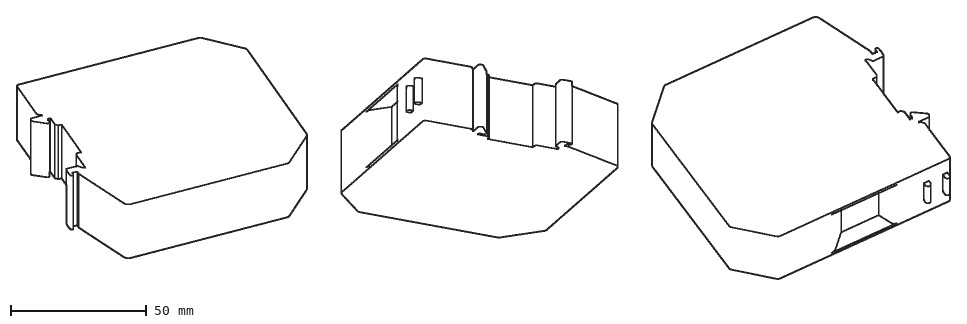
import cadquery as cq
import math

body_width = 83.0
body_length = 90.1
thickness = 25.0
top_corner_cut = 13.1
top_corner_radius = 1.8
base_corner_radius = 0.9

underside_y = 3.4
rail_seat_y = 7.1
rail_recess_y = 9.4
recess_left_x = 28.6
recess_right_x = 46.8
step_chamfer = 1.0
step_radius = 1.0

latch_left_x = 20.7
latch_right_x = 23.4
latch_nose_x = 26.1
latch_nose_y = 5.95
nose_drop = 0.9
nose_bevel = 0.6
nose_lower_radius = 0.5
nose_upper_radius = 0.4
latch_neck_radius = 0.45
latch_tip_x = 22.35
latch_tip_radius = 1.0
relief_width = 1.35
relief_floor = 0.3
relief_radius = 1.35
relief_top_y = 5.05

hook_left_x = 54.0
hook_right_x = 57.05
hook_undercut_x = 55.9
hook_shoulder_y = 5.0
hook_toe_x = 58.7
hook_toe_height = 1.4
hook_undercut_depth = 0.9
hook_bottom_crown = 0.3
hook_crown_radius = 9.0
hook_shoulder_radius = 0.3
hook_heel_radius = 0.45
hook_toe_radius = 0.5

slope_start_x = 58.6
slope_end_y = 12.2
slope_end_radius = 2.25

pocket_height = 22.35
pocket_depth = 6.6
pocket_floor_low_y = 30.5
pocket_floor_high_y = 46.4
pocket_mouth_low_y = 27.85
pocket_mouth_high_y = pocket_floor_high_y + pocket_depth
low_mouth_radius = 1.8
high_mouth_radius = 3.15

tab_height = 9.8
tab_root = 0.9
tabs = [(5.0, 2.0, 2.6), (12.8, 2.25, 2.25)]


def rounded_outline(corners):
    """Closed wire from (x, y, radius) corners; a zero radius stays sharp."""
    wire = cq.Workplane("XY")
    count = len(corners)
    for i in range(count):
        x, y, radius = corners[i]
        corner = cq.Vector(x, y)
        before = (cq.Vector(*corners[i - 1][:2]) - corner).normalized()
        after = (cq.Vector(*corners[(i + 1) % count][:2]) - corner).normalized()
        half_angle = before.getAngle(after) / 2
        setback = radius / math.tan(half_angle)
        start = corner + before * setback
        wire = wire.moveTo(start.x, start.y) if i == 0 else wire.lineTo(start.x, start.y)
        if radius > 0:
            bisector = (before + after).normalized()
            middle = corner + bisector * (radius / math.sin(half_angle) - radius)
            end = corner + after * setback
            wire = wire.threePointArc((middle.x, middle.y), (end.x, end.y))
    return wire.close()


def housing():
    left_and_latch = [
        (0, underside_y, base_corner_radius),
        (latch_left_x - relief_width, underside_y, relief_radius),
        (latch_left_x - relief_floor, relief_top_y, 0),
        (latch_left_x, relief_top_y, 0),
        (latch_left_x, 0, latch_tip_radius),
        (latch_tip_x, 0, latch_tip_radius),
        (latch_nose_x, latch_nose_y - nose_drop, nose_lower_radius),
        (latch_nose_x - nose_bevel, latch_nose_y, nose_upper_radius),
        (latch_right_x, latch_nose_y, latch_neck_radius),
        (latch_right_x, rail_seat_y, 0),
    ]
    rail_recess = [
        (recess_left_x - step_chamfer, rail_seat_y, 0),
        (recess_left_x, rail_seat_y + step_chamfer, 0),
        (recess_left_x, rail_recess_y, 0),
        (recess_right_x, rail_recess_y, 0),
        (recess_right_x, rail_seat_y, step_radius),
    ]
    hook = [
        (hook_undercut_x, rail_seat_y, 0),
        (hook_undercut_x, rail_seat_y - hook_undercut_depth, hook_shoulder_radius),
        (hook_left_x, hook_shoulder_y, hook_shoulder_radius),
        (hook_left_x, hook_bottom_crown, hook_heel_radius),
        ((hook_left_x + hook_toe_x) / 2, 0, hook_crown_radius),
        (hook_toe_x, hook_bottom_crown, hook_toe_radius),
        (hook_toe_x, hook_toe_height, hook_toe_radius),
        (hook_right_x, hook_toe_height, 0),
        (hook_right_x, underside_y, 0),
    ]
    right_and_top = [
        (slope_start_x, underside_y, 0),
        (body_width, slope_end_y, slope_end_radius),
        (body_width, body_length - top_corner_cut, top_corner_radius),
        (body_width - top_corner_cut, body_length, top_corner_radius),
        (top_corner_cut, body_length, top_corner_radius),
        (0, body_length - top_corner_cut, top_corner_radius),
    ]
    return rounded_outline(left_and_latch + rail_recess + hook + right_and_top).extrude(thickness)


def side_pocket():
    """Cutter with two sloping walls that flare out to the left side."""
    outline = rounded_outline([
        (0, pocket_mouth_low_y, 0),
        (pocket_depth, pocket_floor_low_y, 0),
        (pocket_depth, pocket_floor_high_y, 0),
        (0, pocket_mouth_high_y, 0),
    ])
    return outline.extrude(pocket_height).translate((0, 0, (thickness - pocket_height) / 2))


def round_pocket_lip(body, lip_y, radius):
    lip_middle = (0, lip_y, thickness / 2)
    return body.edges(cq.selectors.NearestToPointSelector(lip_middle)).fillet(radius)


def side_tab(low_y, width, projection):
    nose_radius = width / 2
    nose_start_x = nose_radius - projection
    outline = (
        cq.Workplane("XY")
        .moveTo(tab_root, low_y)
        .lineTo(tab_root, low_y + width)
        .lineTo(nose_start_x, low_y + width)
        .threePointArc((-projection, low_y + nose_radius), (nose_start_x, low_y))
        .close()
    )
    return outline.extrude(tab_height).translate((0, 0, (thickness - tab_height) / 2))


result = housing().cut(side_pocket())
result = round_pocket_lip(result, pocket_mouth_low_y, low_mouth_radius)
result = round_pocket_lip(result, pocket_mouth_high_y, high_mouth_radius)
for tab in tabs:
    result = result.union(side_tab(*tab))